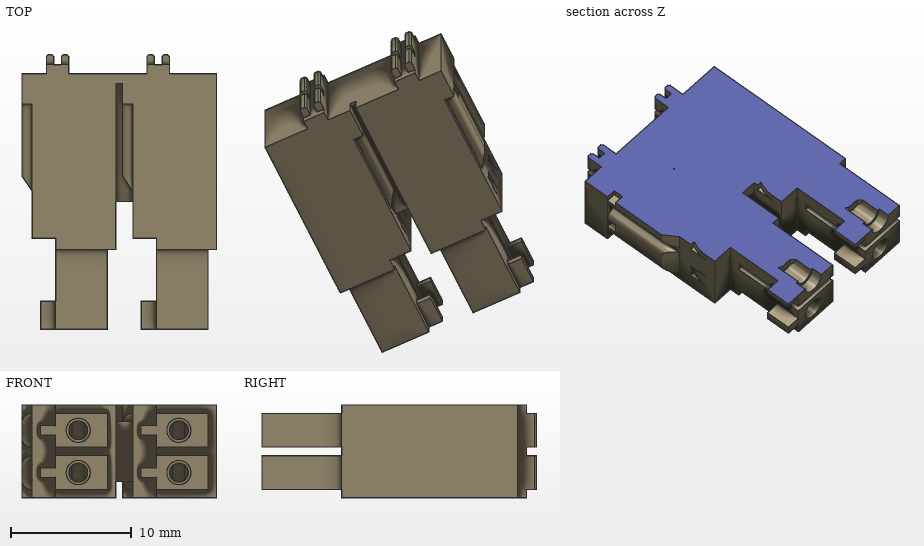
import cadquery as cq
import math


TOTAL_WIDTH = 16.12
TOTAL_LENGTH = 22.73
HEIGHT = 7.7
MODULE_COUNT = 2
MODULE_PITCH = 8.33
MODULE_WIDTH = TOTAL_WIDTH - MODULE_PITCH * (MODULE_COUNT - 1)
ROW_COUNT = 2
ROW_HEIGHT = 2.8
ROW_GAP = (HEIGHT - ROW_COUNT * ROW_HEIGHT) / (ROW_COUNT + 1)
ROW_PITCH = ROW_HEIGHT + ROW_GAP

BODY_FRONT = 6.6
SHOULDER_FRONT = 7.53
HEAD_FRONT = 18.65
HEAD_REAR = 21.15
SIDE_RECESS = 0.85

PLUG_LEFT = 2.8
PLUG_RIGHT = 7.08
KEY_WIDTH = 1.25
KEY_LENGTH = 2.32
KEY_HEIGHT = 0.78

BORE_X = 4.67
ENTRY_RADIUS = 1.0
ENTRY_DEPTH = 1.0
BORE_RADIUS = 0.78
BORE_DEPTH = 3.0
BORE_SLOPE_START = 0.47
BORE_SLOPE_ANGLE = 48
BORE_RELIEF_START = 0.52
BORE_RELIEF_ANGLE = 33

RAIL_FRONT = 11.42
RAIL_RAMP_LENGTH = 1.28
RAIL_EDGE_RADIUS = 0.78
RAIL_POCKET_LENGTH = 0.87
RAIL_POCKET_HEIGHT = 0.95
RAIL_POCKET_DEPTH = SIDE_RECESS

WINDOW_FRONT = 8.55
WINDOW_LENGTH = 1.63
WINDOW_HEIGHT = 1.24
WINDOW_DEPTH = 0.42

TAIL_LEFT = 2.02
TAIL_WIDTH = 1.87
TAIL_BASE_REAR = 21.9
PRONG_COUNT = 2
PRONG_WIDTH = 0.62
PRONG_CHAMFER = 0.155

BRIDGE_FRONT = 10.56
BRIDGE_HEIGHT = 5.0
BRIDGE_BOTTOM = (HEIGHT - BRIDGE_HEIGHT) / 2
BRIDGE_WALL_FRONT = 20.36


def block(x0, x1, y0, y1, z0, z1):
    """Box between two corners."""
    return cq.Workplane("XY").box(x1 - x0, y1 - y0, z1 - z0, centered=False).translate((x0, y0, z0))


def row_block(x0, x1, y0, y1, height):
    """Box centred on the height of the lowest row."""
    centre = ROW_GAP + ROW_HEIGHT / 2
    return block(x0, x1, y0, y1, centre - height / 2, centre + height / 2)


def body():
    """Full-height housing: recessed left side, wide head at the rear, stepped front."""
    return (
        cq.Workplane("XY")
        .moveTo(0, HEAD_REAR)
        .lineTo(0, HEAD_FRONT)
        .lineTo(SIDE_RECESS, HEAD_FRONT)
        .lineTo(SIDE_RECESS, SHOULDER_FRONT)
        .lineTo(PLUG_LEFT, SHOULDER_FRONT)
        .lineTo(PLUG_LEFT, BODY_FRONT)
        .lineTo(MODULE_WIDTH, BODY_FRONT)
        .lineTo(MODULE_WIDTH, HEAD_REAR)
        .close()
        .extrude(HEIGHT)
    )


def plug():
    """Plug finger of the lowest row with its key."""
    finger = row_block(PLUG_LEFT, PLUG_RIGHT, 0, BODY_FRONT, ROW_HEIGHT)
    key = row_block(PLUG_LEFT - KEY_WIDTH, PLUG_LEFT, 0, KEY_LENGTH, KEY_HEIGHT)
    return finger.union(key)


def rail():
    """Side rail of the lowest row: rounded outer edges, ramped front end, pocket at the rear."""
    bar = row_block(0, SIDE_RECESS, RAIL_FRONT, HEAD_FRONT, ROW_HEIGHT)
    bar = bar.edges("|Y and <X").fillet(RAIL_EDGE_RADIUS)
    ramp_cut = (
        cq.Workplane("XY")
        .moveTo(0, RAIL_FRONT)
        .lineTo(SIDE_RECESS, RAIL_FRONT)
        .lineTo(0, RAIL_FRONT + RAIL_RAMP_LENGTH)
        .close()
        .extrude(HEIGHT)
    )
    pocket = row_block(
        0, RAIL_POCKET_DEPTH, HEAD_FRONT - RAIL_POCKET_LENGTH, HEAD_FRONT, RAIL_POCKET_HEIGHT
    )
    return bar.cut(ramp_cut).cut(pocket)


def prongs():
    """Tail prongs of the lowest row, chamfered at the rear."""
    result_prongs = cq.Workplane("XY")
    spacing = (TAIL_WIDTH - PRONG_WIDTH) / (PRONG_COUNT - 1)
    for index in range(PRONG_COUNT):
        left = TAIL_LEFT + index * spacing
        prong = row_block(left, left + PRONG_WIDTH, TAIL_BASE_REAR, TOTAL_LENGTH, ROW_HEIGHT)
        result_prongs = result_prongs.union(prong.edges("|Z and >Y").chamfer(PRONG_CHAMFER))
    return result_prongs


def bore():
    """Cutter for the stepped bore; its end falls away on the left and slopes up on the right."""
    centre_z = ROW_GAP + ROW_HEIGHT / 2
    front = cq.Workplane("XZ", origin=(BORE_X, 0, centre_z))
    entry = front.circle(ENTRY_RADIUS).extrude(-ENTRY_DEPTH)
    hole = front.circle(BORE_RADIUS).extrude(-BORE_DEPTH)

    right_run = BORE_RADIUS - BORE_SLOPE_START
    right_x = BORE_X + BORE_RADIUS
    right_wedge = (
        cq.Workplane("XY")
        .moveTo(BORE_X + BORE_SLOPE_START, BORE_DEPTH)
        .lineTo(right_x, BORE_DEPTH - right_run * math.tan(math.radians(BORE_SLOPE_ANGLE)))
        .lineTo(right_x, BORE_DEPTH)
        .close()
        .extrude(HEIGHT)
    )

    left_run = BORE_RADIUS - BORE_RELIEF_START
    relief_depth = left_run * math.tan(math.radians(BORE_RELIEF_ANGLE))
    left_x = BORE_X - BORE_RADIUS
    relief_limit = (
        cq.Workplane("XY")
        .moveTo(BORE_X - BORE_RELIEF_START, BORE_DEPTH)
        .lineTo(left_x, BORE_DEPTH + relief_depth)
        .lineTo(left_x, BORE_DEPTH)
        .close()
        .extrude(HEIGHT)
    )
    relief = front.circle(BORE_RADIUS).extrude(-BORE_DEPTH - relief_depth).intersect(relief_limit)
    return entry.union(hole.cut(right_wedge)).union(relief)


def window():
    """Cutter for a side window whose floor curves inward from flush at the front edge."""
    rear = WINDOW_FRONT + WINDOW_LENGTH
    radius = (WINDOW_LENGTH**2 + WINDOW_DEPTH**2) / (2 * WINDOW_DEPTH)
    half_angle = math.asin(WINDOW_LENGTH / radius) / 2
    mid_point = (
        SIDE_RECESS + radius * (1 - math.cos(half_angle)),
        WINDOW_FRONT + radius * math.sin(half_angle),
    )
    return (
        cq.Workplane("XY", origin=(0, 0, ROW_GAP + (ROW_HEIGHT - WINDOW_HEIGHT) / 2))
        .moveTo(SIDE_RECESS, WINDOW_FRONT)
        .threePointArc(mid_point, (SIDE_RECESS + WINDOW_DEPTH, rear))
        .lineTo(SIDE_RECESS, rear)
        .close()
        .extrude(WINDOW_HEIGHT)
    )


def module():
    """One complete module at the origin."""
    tail_base = block(TAIL_LEFT, TAIL_LEFT + TAIL_WIDTH, HEAD_REAR, TAIL_BASE_REAR, 0, HEIGHT)
    solid = body().union(tail_base)
    row_additions = plug().union(rail()).union(prongs())
    row_cuts = bore().union(window())
    for row in range(ROW_COUNT):
        offset = (0, 0, row * ROW_PITCH)
        solid = solid.union(row_additions.translate(offset)).cut(row_cuts.translate(offset))
    return solid


def bridge():
    """Joint filling the gap between two modules; it rises to the top face at its rear wall."""
    left = MODULE_WIDTH
    top = BRIDGE_BOTTOM + BRIDGE_HEIGHT
    bar = block(left, MODULE_PITCH + SIDE_RECESS, BRIDGE_FRONT, HEAD_FRONT, BRIDGE_BOTTOM, top)
    web = block(left, MODULE_PITCH, HEAD_FRONT, HEAD_REAR, BRIDGE_BOTTOM, top)
    wall = block(left, MODULE_PITCH, BRIDGE_WALL_FRONT, HEAD_REAR, BRIDGE_BOTTOM, HEIGHT)
    return bar.union(web).union(wall)


result = module()
for number in range(1, MODULE_COUNT):
    result = result.union(module().translate((number * MODULE_PITCH, 0, 0)))
    result = result.union(bridge().translate(((number - 1) * MODULE_PITCH, 0, 0)))